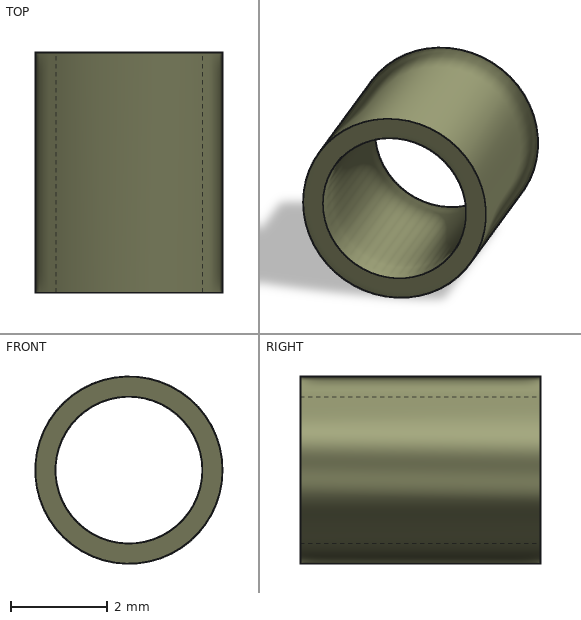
import cadquery as cq

length = 5.0
outer_diameter = 3.9
bore_diameter = 3.05

result = (
    cq.Workplane("XZ", origin=(0, length / 2, 0))
    .circle(outer_diameter / 2)
    .circle(bore_diameter / 2)
    .extrude(length)
)